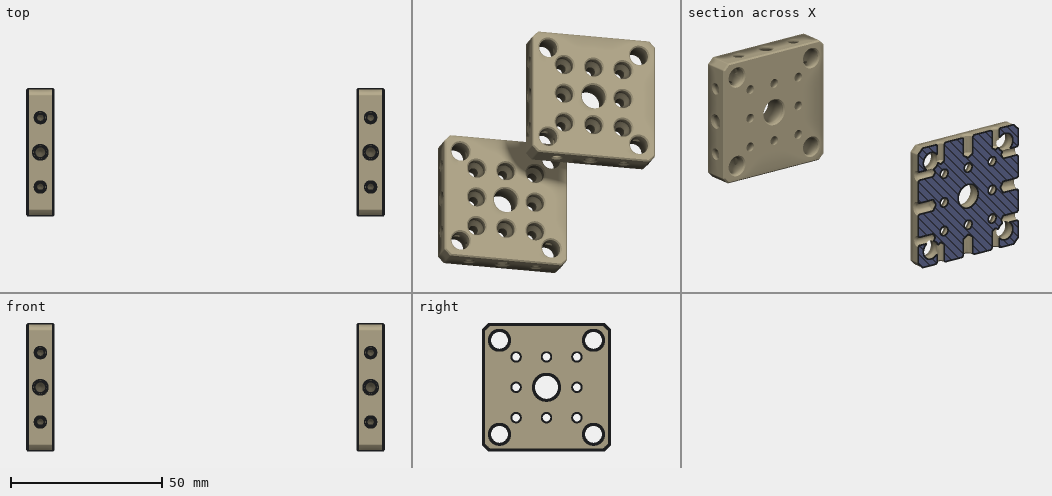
import cadquery as cq
import math

OVERALL_LENGTH = 118.0
PLATE_SIDE = 42.0
PLATE_THICKNESS = 9.0
CORNER_CHAMFER = 2.0
CORNER_FILLET = 0.6
EDGE_CHAMFER = 0.5

RIM_CHAMFER = 0.5
CENTRE_DIAMETER = 8.1
CORNER_DIAMETER = 6.1
CORNER_PITCH = 31.0
SCREW_PITCH = 10.0
SCREW_HEAD_DIAMETER = 6.0
SCREW_HEAD_DEPTH = 3.0
SCREW_HEAD_ANGLE = 90.0
SCREW_BORE_DIAMETER = 3.1

SIDE_CENTRE_DIAMETER = 3.8
SIDE_OUTER_DIAMETER = 2.7
SIDE_OUTER_OFFSET = 11.5
SIDE_DEPTH = 6.4
SIDE_RIM_CHAMFER = 0.6
SIDE_POINT_ANGLE = 118.0


def blind_bore(diameter, depth, rim_chamfer, point_angle):
    """Tool that drills along -Z from the origin: rim chamfer, bore and conical point."""
    radius = diameter / 2
    point_height = radius / math.tan(math.radians(point_angle / 2))
    return (
        cq.Workplane("XZ")
        .moveTo(0, 0)
        .lineTo(radius + rim_chamfer, 0)
        .lineTo(radius, -rim_chamfer)
        .lineTo(radius, -depth)
        .lineTo(0, -depth - point_height)
        .close()
        .revolve(360, (0, 0, 0), (0, 1, 0))
    )


def through_bore(diameter):
    """Tool for a bore through the plate along -Z, with both rims chamfered."""
    radius = diameter / 2
    return (
        cq.Workplane("XZ")
        .moveTo(0, 0)
        .lineTo(radius + RIM_CHAMFER, 0)
        .lineTo(radius, -RIM_CHAMFER)
        .lineTo(radius, RIM_CHAMFER - PLATE_THICKNESS)
        .lineTo(radius + RIM_CHAMFER, -PLATE_THICKNESS)
        .lineTo(0, -PLATE_THICKNESS)
        .close()
        .revolve(360, (0, 0, 0), (0, 1, 0))
    )


def screw_bore():
    """Tool for a screw hole: a drilled head recess that narrows to a through bore."""
    bore = cq.Workplane("XY").circle(SCREW_BORE_DIAMETER / 2).extrude(-PLATE_THICKNESS)
    recess = blind_bore(SCREW_HEAD_DIAMETER, SCREW_HEAD_DEPTH, RIM_CHAMFER, SCREW_HEAD_ANGLE)
    return recess.union(bore)


def from_recessed_face(tool, y, z):
    """Place a tool to drill along +X from the plate face at -X, at the given Y and Z."""
    return tool.rotate((0, 0, 0), (0, 1, 0), -90).translate((-PLATE_THICKNESS / 2, y, z))


def make_plate(x_centre):
    """Square plate with bevelled corners, a hole pattern and drilled sides."""
    plate = (
        cq.Workplane("XY")
        .box(PLATE_THICKNESS, PLATE_SIDE, PLATE_SIDE)
        .edges("|X")
        .chamfer(CORNER_CHAMFER)
        .edges("|X")
        .fillet(CORNER_FILLET)
        .faces("<X or >X")
        .chamfer(EDGE_CHAMFER)
    )

    plate = plate.cut(from_recessed_face(through_bore(CENTRE_DIAMETER), 0, 0))
    corner_tool = through_bore(CORNER_DIAMETER)
    for y in (-CORNER_PITCH / 2, CORNER_PITCH / 2):
        for z in (-CORNER_PITCH / 2, CORNER_PITCH / 2):
            plate = plate.cut(from_recessed_face(corner_tool, y, z))

    screw_tool = screw_bore()
    for column in (-1, 0, 1):
        for row in (-1, 0, 1):
            if (column, row) != (0, 0):
                placed_tool = from_recessed_face(screw_tool, column * SCREW_PITCH, row * SCREW_PITCH)
                plate = plate.cut(placed_tool)

    side_tool = blind_bore(SIDE_CENTRE_DIAMETER, SIDE_DEPTH, SIDE_RIM_CHAMFER, SIDE_POINT_ANGLE)
    outer_tool = blind_bore(SIDE_OUTER_DIAMETER, SIDE_DEPTH, SIDE_RIM_CHAMFER, SIDE_POINT_ANGLE)
    for y in (-SIDE_OUTER_OFFSET, SIDE_OUTER_OFFSET):
        side_tool = side_tool.union(outer_tool.translate((0, y, 0)))
    side_tool = side_tool.translate((0, 0, PLATE_SIDE / 2))
    for turn in range(4):
        plate = plate.cut(side_tool.rotate((0, 0, 0), (1, 0, 0), turn * 90))

    return plate.translate((x_centre, 0, 0))


END_OFFSET = (OVERALL_LENGTH - PLATE_THICKNESS) / 2
plates = [make_plate(x).val() for x in (-END_OFFSET, END_OFFSET)]

result = cq.Compound.makeCompound(plates)